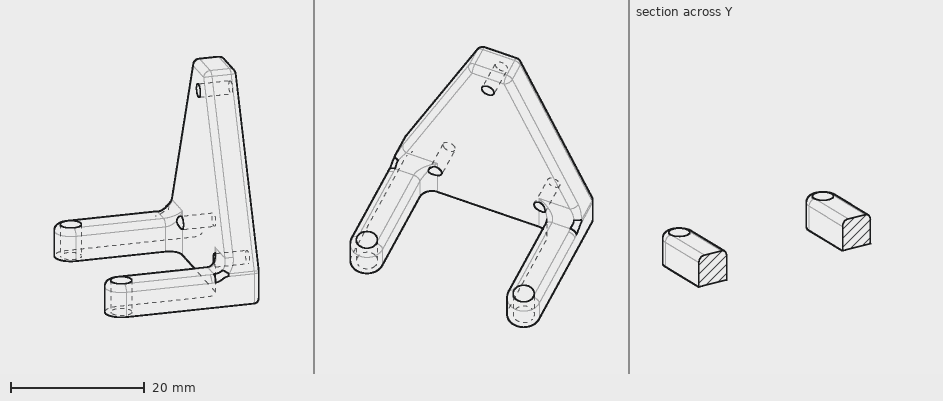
import cadquery as cq
import math

width = 30.5
height = 33.0
thickness = 5.0
top_width = 6.5
front_y = -thickness

arm_width = 5.0
arm_height = 5.0
arm_hole_diameter = 3.15
arm_hole_y = -21.0
arm_end_radius = arm_width / 2
arm_end_y = arm_hole_y - arm_end_radius
arm_center_x = (width - arm_width) / 2
arm_inner_x = width / 2 - arm_width

screw_diameter = 2.0
upper_screw_z = 29.0
lower_screw_x = 8.5
lower_screw_z = arm_height

root_radius = 2.0
edge_radius = 1.0
root_y = front_y - root_radius
root_x = arm_inner_x - root_radius
root_z = arm_height + root_radius

blend_length = 0.65
stub_end_y = root_y - blend_length

overlap = 2.0


def make_plate():
    """Upright plate: straight sides up to the arm height, then a taper to the top."""
    outline = [
        (-width / 2, 0),
        (width / 2, 0),
        (width / 2, arm_height),
        (top_width / 2, height),
        (-top_width / 2, height),
        (-width / 2, arm_height),
    ]
    return cq.Workplane("XZ").polyline(outline).close().extrude(thickness)


def make_arm():
    """Right arm from its root to its half-round end, with the top rim rounded."""
    arm = (
        cq.Workplane("XY")
        .moveTo(arm_inner_x, root_y)
        .lineTo(arm_inner_x, arm_hole_y)
        .threePointArc((arm_center_x, arm_end_y), (width / 2, arm_hole_y))
        .lineTo(width / 2, root_y)
        .close()
        .extrude(arm_height)
    )
    rim = [(arm_inner_x, (root_y + arm_hole_y) / 2, arm_height)]
    return nearest_edges(arm, rim).fillet(edge_radius)


def make_stub():
    """Sharp-edged outer half of the right arm's first stretch."""
    return (
        cq.Workplane("XY")
        .box(arm_width / 2, -stub_end_y, arm_height, centered=False)
        .translate((arm_center_x, stub_end_y, 0))
    )


def mirror_pair(part):
    """Part of one side joined with its mirror image on the other."""
    return part.union(part.mirror("YZ"))


def nearest_edges(body, points):
    """Edges of the body that pass through the given points."""
    picked = []
    for point in points:
        vertex = cq.Vertex.makeVertex(*point)
        picked.append(min(body.edges().vals(), key=lambda edge: edge.distance(vertex)))
    return body.newObject(picked)


def make_frame():
    """Plate with the arm stubs, rounded on every exposed edge."""
    frame = make_plate().union(mirror_pair(make_stub()))

    root_x_middle = (arm_center_x + width / 2) / 2
    roots = [(side * root_x_middle, front_y, arm_height) for side in (-1, 1)]
    frame = nearest_edges(frame, roots).fillet(root_radius)

    middle_z = (arm_height + height) / 2
    middle_x = (width + top_width) / 4
    seeds = [(0, front_y, height), (0, 0, height), (0, 0, 0)]
    for side in (-1, 1):
        seeds += [
            (side * top_width / 2, front_y / 2, height),
            (side * width / 2, front_y / 2, arm_height),
            (side * middle_x, front_y, middle_z),
            (side * middle_x, 0, middle_z),
            (side * width / 2, 0, arm_height / 2),
            (side * width / 2, (root_y + stub_end_y) / 2, arm_height),
        ]
    return nearest_edges(frame, seeds).fillet(edge_radius)


def make_corner_round():
    """Cutter that rounds the curved edge where the two root fillets of the right arm meet.

    A ball of edge_radius rolls along the edge inside the material. Its center follows
    an ellipse in the 45 degree plane through root_x and root_z.
    """
    reach = root_radius + edge_radius
    ellipse_plane = cq.Plane(origin=(root_x, root_y, root_z), xDir=(0, 1, 0), normal=(1, 0, 1))
    path = cq.Workplane(ellipse_plane).ellipse(reach, reach * math.sqrt(2))
    start_plane = cq.Plane(
        origin=(root_x, root_y - reach, root_z), xDir=(0, 1, 0), normal=(1, 0, -1)
    )
    ball_track = cq.Workplane(start_plane).circle(edge_radius).sweep(path)

    wedge = (
        cq.Workplane("XZ", origin=(0, root_y, 0))
        .moveTo(root_x, root_z)
        .lineTo(root_x + reach, root_z - root_radius)
        .lineTo(root_x + reach, root_z - reach)
        .lineTo(root_x + root_radius, root_z - reach)
        .close()
        .extrude(-root_radius)
    )
    inside_track = (
        cq.Workplane("YZ", origin=(root_x, root_y, root_z))
        .circle(reach)
        .extrude(reach)
    )
    return wedge.intersect(inside_track).cut(ball_track)


def make_root():
    """Inner half of the right arm's root, with both concave fillets."""
    root = cq.Workplane("XY").box(
        arm_center_x - root_x, root_radius + overlap, root_z, centered=False
    )
    root = root.translate((root_x, root_y, 0))
    side_hollow = cq.Workplane("XY").center(root_x, root_y).circle(root_radius).extrude(root_z)
    top_hollow = (
        cq.Workplane("YZ", origin=(root_x, root_y, root_z))
        .circle(root_radius)
        .extrude(arm_width + root_radius)
    )
    return root.cut(side_hollow).cut(top_hollow).cut(make_corner_round())


def cut_holes(body):
    """Three screw holes through the plate and one vertical hole at the end of each arm."""
    screw_points = [
        (0, upper_screw_z),
        (-lower_screw_x, lower_screw_z),
        (lower_screw_x, lower_screw_z),
    ]
    screws = (
        cq.Workplane("XZ").pushPoints(screw_points).circle(screw_diameter / 2).extrude(-arm_end_y)
    )
    arm_points = [(side * arm_center_x, arm_hole_y) for side in (-1, 1)]
    pins = (
        cq.Workplane("XY").pushPoints(arm_points).circle(arm_hole_diameter / 2).extrude(arm_height)
    )
    return body.cut(screws).cut(pins)


def make_body():
    """Frame and arms joined; the left half is mirrored so that both sides match exactly."""
    left_arm = make_arm().cut(make_stub()).union(make_root()).mirror("YZ")
    left_space = (
        cq.Workplane("XY")
        .box(width, 2 * width, 2 * height)
        .translate((-width / 2, 0, 0))
    )
    left_half = make_frame().union(left_arm).intersect(left_space)
    return mirror_pair(left_half).clean()


result = cut_holes(make_body())